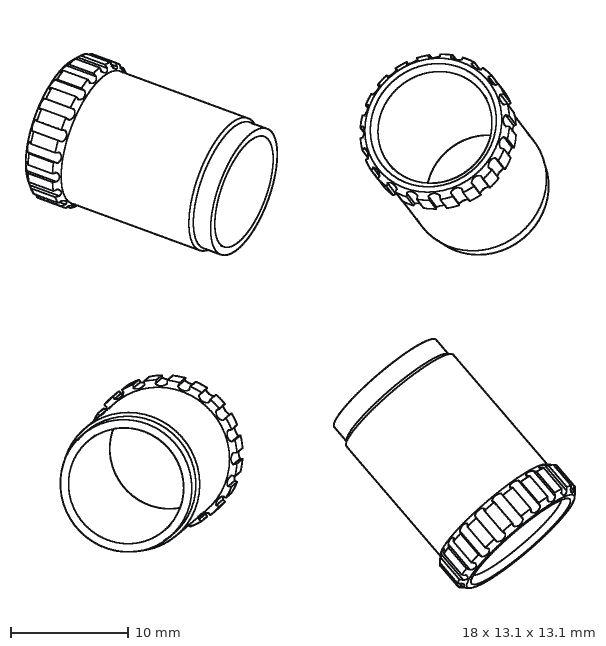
import cadquery as cq
import math

length = 18.0
bore_radius = 10.0 / 2
body_radius = 12.0 / 2
spigot_radius = 11.45 / 2
spigot_start = 16.3
shoulder_chamfer = body_radius - spigot_radius

mouth_radius = 5.53
mouth_depth = 0.6

collar_radius = 6.55
collar_width = 3.5
collar_bevel = collar_radius - body_radius

slot_count = 20
slot_top_half_width = 0.47
slot_base_half_width = 0.5
slot_wall_end_radius = 6.26
slot_floor_radius = 6.1
slot_top_radius = collar_radius + 0.18


def make_sleeve():
    """Revolve the wall section, drawn as (axial, radial) points, about X."""
    section = [
        (0, mouth_radius),
        (0, body_radius),
        (collar_bevel, collar_radius),
        (collar_width - collar_bevel, collar_radius),
        (collar_width, body_radius),
        (spigot_start - shoulder_chamfer, body_radius),
        (spigot_start, spigot_radius),
        (length, spigot_radius),
        (length, bore_radius),
        (mouth_depth, bore_radius),
    ]
    return cq.Workplane("XY").polyline(section).close().revolve(360, (0, 0, 0), (1, 0, 0))


def make_slot_cutter():
    """Slot at the top of the collar, running its full width."""
    rim_height = math.sqrt(collar_radius**2 - slot_top_half_width**2)
    return (
        cq.Workplane("YZ")
        .moveTo(-slot_top_half_width, slot_top_radius)
        .lineTo(-slot_top_half_width, rim_height)
        .lineTo(-slot_base_half_width, slot_wall_end_radius)
        .threePointArc((0, slot_floor_radius), (slot_base_half_width, slot_wall_end_radius))
        .lineTo(slot_top_half_width, rim_height)
        .lineTo(slot_top_half_width, slot_top_radius)
        .close()
        .extrude(collar_width)
    )


result = make_sleeve()
slot_cutter = make_slot_cutter()
for index in range(slot_count):
    angle = index * 360 / slot_count
    result = result.cut(slot_cutter.rotate((0, 0, 0), (1, 0, 0), angle))